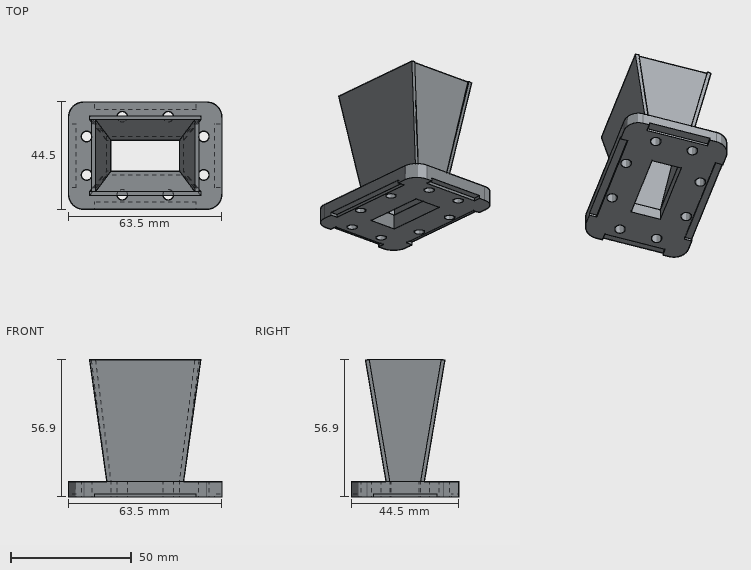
import cadquery as cq

flange_length = 63.5
flange_width = 44.45
flange_thickness = 6.35
corner_radius = 6.35

opening_length = 28.3
opening_width = 12.7

bolt_hole_diameter = 4.3
long_side_bolt_spacing = 19.0
long_side_bolt_offset = 16.1
short_side_bolt_spacing = 15.9
short_side_bolt_offset = 24.2

notch_height = 1.27
notch_depth = 3.175
long_side_notch_length = 42.1
short_side_notch_length = 26.2

total_height = 56.9
broad_wall_thickness = 1.6
narrow_wall_thickness = 1.75
mouth_length = 41.1
mouth_width = 29.8
mouth_overhang = 0.75


def make_flange():
    """Rounded plate with the opening, bolt holes and relief notches."""
    plate = (
        cq.Workplane("XY")
        .rect(flange_length, flange_width)
        .extrude(flange_thickness)
        .edges("|Z")
        .fillet(corner_radius)
    )
    opening = cq.Workplane("XY").rect(opening_length, opening_width).extrude(flange_thickness)
    bolt_holes = (
        cq.Workplane("XY")
        .rect(long_side_bolt_spacing, 2 * long_side_bolt_offset, forConstruction=True)
        .vertices()
        .circle(bolt_hole_diameter / 2)
        .extrude(flange_thickness)
        .union(
            cq.Workplane("XY")
            .rect(2 * short_side_bolt_offset, short_side_bolt_spacing, forConstruction=True)
            .vertices()
            .circle(bolt_hole_diameter / 2)
            .extrude(flange_thickness)
        )
    )
    plate = plate.cut(opening).cut(bolt_holes)
    for side in (-1, 1):
        long_side_notch = (
            cq.Workplane("XY")
            .center(0, side * flange_width / 2)
            .rect(long_side_notch_length, 2 * notch_depth)
            .extrude(notch_height)
        )
        short_side_notch = (
            cq.Workplane("XY")
            .center(side * flange_length / 2, 0)
            .rect(2 * notch_depth, short_side_notch_length)
            .extrude(notch_height)
        )
        plate = plate.cut(long_side_notch).cut(short_side_notch)
    return plate


def make_wall(bottom_size, bottom_center, top_size, top_center):
    """Leaning wall lofted between a rectangle on the flange and one at the mouth."""
    return (
        cq.Workplane("XY", origin=(0, 0, flange_thickness))
        .center(*bottom_center)
        .rect(*bottom_size)
        .workplane(offset=total_height - flange_thickness)
        .center(top_center[0] - bottom_center[0], top_center[1] - bottom_center[1])
        .rect(*top_size)
        .loft(ruled=True)
    )


def make_broad_wall(side):
    """Wall across Y; its ends overhang the narrow walls and its top edge is square to the wall."""
    bottom_length = opening_length + 2 * narrow_wall_thickness
    top_length = mouth_length + 2 * (narrow_wall_thickness + mouth_overhang)
    wall = make_wall(
        (bottom_length, broad_wall_thickness),
        (0, side * (opening_width + broad_wall_thickness) / 2),
        (top_length, broad_wall_thickness),
        (0, side * (mouth_width + broad_wall_thickness) / 2),
    )
    lean = (mouth_width - opening_width) / 2 / (total_height - flange_thickness)
    inner_y = mouth_width / 2
    outer_y = inner_y + broad_wall_thickness
    top_trim = (
        cq.Workplane("YZ")
        .moveTo(side * inner_y, total_height)
        .lineTo(side * outer_y, total_height)
        .lineTo(side * outer_y, total_height - broad_wall_thickness * lean)
        .close()
        .extrude(top_length, both=True)
    )
    return wall.cut(top_trim)


def make_narrow_wall(side):
    """Wall across X, fitted between the two broad walls."""
    return make_wall(
        (narrow_wall_thickness, opening_width),
        (side * (opening_length + narrow_wall_thickness) / 2, 0),
        (narrow_wall_thickness, mouth_width),
        (side * (mouth_length + narrow_wall_thickness) / 2, 0),
    )


flange = make_flange()
broad_walls = [make_broad_wall(side) for side in (-1, 1)]
narrow_walls = [make_narrow_wall(side) for side in (-1, 1)]

result = cq.Compound.makeCompound(
    [flange.val()]
    + [wall.val() for wall in broad_walls]
    + [wall.val() for wall in narrow_walls]
)